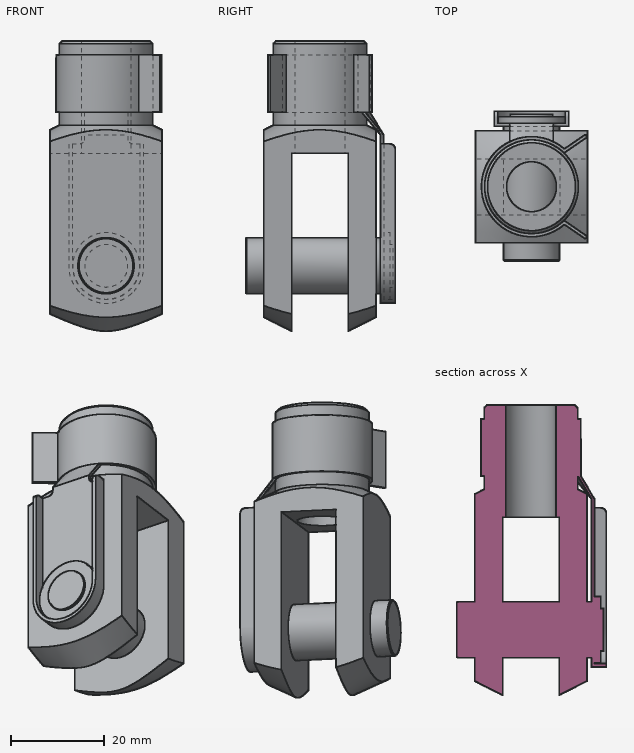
import cadquery as cq
import math

body_width = 24.0
slot_width = body_width / 2
slot_top = 38.0
shoulder_height = 44.0
cone_slope = 0.5
total_height = 62.0

neck_radius = 20.0 / 2
neck_chamfer = 0.6
bore_diameter = 10.65

pin_height = 14.0
pin_diameter = 12.0
pin_front = -15.9
pin_chamfer = 0.25
pin_head_diameter = 14.25
pin_head_end = 14.95
pin_tip_diameter = 9.1
pin_tip_end = 15.5

sheet = 0.7
clip_back = 12.9
clip_rim = 16.1
clip_width = 16.0
clip_top = 40.05
clip_wall = 0.8
clip_corner_radius = 1.25
tab_width = 9.25
tab_root_radius = 1.2
tab_bend_height = 42.0
ring_bottom = 46.8
ring_top = 59.0
ring_radius = neck_radius + sheet
ring_end_angle = 46.0
prong_angle = 34.5
prong_length = 5.95


def fork_body():
    half = body_width / 2
    slot_half = slot_width / 2
    corner = half * math.sqrt(2)
    bottom_rise = cone_slope * (corner - slot_half)
    top_drop = cone_slope * (corner - neck_radius)
    envelope = (
        cq.Workplane("XZ")
        .moveTo(0, 0)
        .lineTo(slot_half, 0)
        .lineTo(corner, bottom_rise)
        .lineTo(corner, shoulder_height - top_drop)
        .lineTo(neck_radius, shoulder_height)
        .lineTo(0, shoulder_height)
        .close()
        .revolve(360, (0, 0), (0, 1))
    )
    bar = cq.Workplane("XY").rect(body_width, body_width).extrude(shoulder_height)
    neck = (
        cq.Workplane("XY", origin=(0, 0, slot_top))
        .circle(neck_radius)
        .extrude(total_height - slot_top)
        .faces(">Z")
        .chamfer(neck_chamfer)
    )
    slot = cq.Workplane("XY").rect(body_width, slot_width).extrude(slot_top)
    bore = cq.Workplane("XY").circle(bore_diameter / 2).extrude(total_height)
    return bar.intersect(envelope).union(neck).cut(slot).cut(bore)


def rod_along_y(diameter, start, end):
    plane = cq.Plane(origin=(0, start, pin_height), xDir=(1, 0, 0), normal=(0, 1, 0))
    return cq.Workplane(plane).circle(diameter / 2).extrude(end - start)


def clevis_pin():
    shank = rod_along_y(pin_diameter, pin_front, clip_back + sheet)
    shank = shank.faces("<Y").chamfer(pin_chamfer)
    head = rod_along_y(pin_head_diameter, clip_back, pin_head_end)
    tip = rod_along_y(pin_tip_diameter, clip_back, pin_tip_end)
    return shank.union(head).union(tip)


def channel_block(width, start):
    """Round-bottomed block from start to the clip rim, concentric with the pin."""
    depth = clip_rim - start
    straight = (
        cq.Workplane("XY")
        .box(width, depth, clip_top - pin_height, centered=(True, False, False))
        .translate((0, start, pin_height))
    )
    return straight.union(rod_along_y(width, start, clip_rim))


def clip_channel():
    outer = channel_block(clip_width, clip_back)
    outer = outer.edges(cq.selectors.BoxSelector(
        (-clip_width, clip_rim - sheet, clip_top - sheet),
        (clip_width, clip_rim + sheet, clip_top + sheet),
    )).fillet(clip_corner_radius)
    return outer.cut(channel_block(clip_width - 2 * clip_wall, clip_back + sheet))


def clip_tab():
    """Flat tab with rounded roots above the channel, then a blend from flat strip to ring arc."""
    half = tab_width / 2
    root_half = half + tab_root_radius
    root_top = clip_top + tab_root_radius
    flat = (
        cq.Workplane("XZ", origin=(0, clip_back, 0))
        .moveTo(-root_half, clip_top)
        .radiusArc((-half, root_top), -tab_root_radius)
        .lineTo(-half, tab_bend_height)
        .lineTo(half, tab_bend_height)
        .lineTo(half, root_top)
        .radiusArc((root_half, clip_top), -tab_root_radius)
        .close()
        .extrude(-sheet)
    )
    inner_side = math.sqrt(neck_radius**2 - half**2)
    outer_side = math.sqrt(ring_radius**2 - half**2)
    blend = (
        cq.Workplane("XY", origin=(0, 0, tab_bend_height))
        .moveTo(-half, clip_back)
        .lineTo(half, clip_back)
        .lineTo(half, clip_back + sheet)
        .lineTo(-half, clip_back + sheet)
        .close()
        .workplane(offset=ring_bottom - tab_bend_height)
        .moveTo(-half, inner_side)
        .threePointArc((0, neck_radius), (half, inner_side))
        .lineTo(half, outer_side)
        .threePointArc((0, ring_radius), (-half, outer_side))
        .close()
        .loft(ruled=True)
    )
    return flat.union(blend)


def clip_ring():
    """Open ring around the neck with a straight prong at each end."""
    height = ring_top - ring_bottom
    base = cq.Workplane("XY", origin=(0, 0, ring_bottom))
    end_x = math.cos(math.radians(ring_end_angle))
    end_y = math.sin(math.radians(ring_end_angle))
    reach = 2 * ring_radius
    opening = (
        base.polyline([(0, 0), (reach * end_x, -reach * end_y), (reach * end_x, reach * end_y)])
        .close()
        .extrude(height)
    )
    ring = base.circle(ring_radius).circle(neck_radius).extrude(height).cut(opening)
    prong = (
        cq.Workplane("XY")
        .box(prong_length, sheet, height, centered=(False, False, False))
        .rotate((0, 0, 0), (0, 0, 1), prong_angle)
        .translate((neck_radius * end_x, neck_radius * end_y, ring_bottom))
    )
    return ring.union(prong).union(prong.mirror("XZ"))


result = (
    fork_body()
    .union(clevis_pin())
    .union(clip_channel())
    .union(clip_tab())
    .union(clip_ring())
)